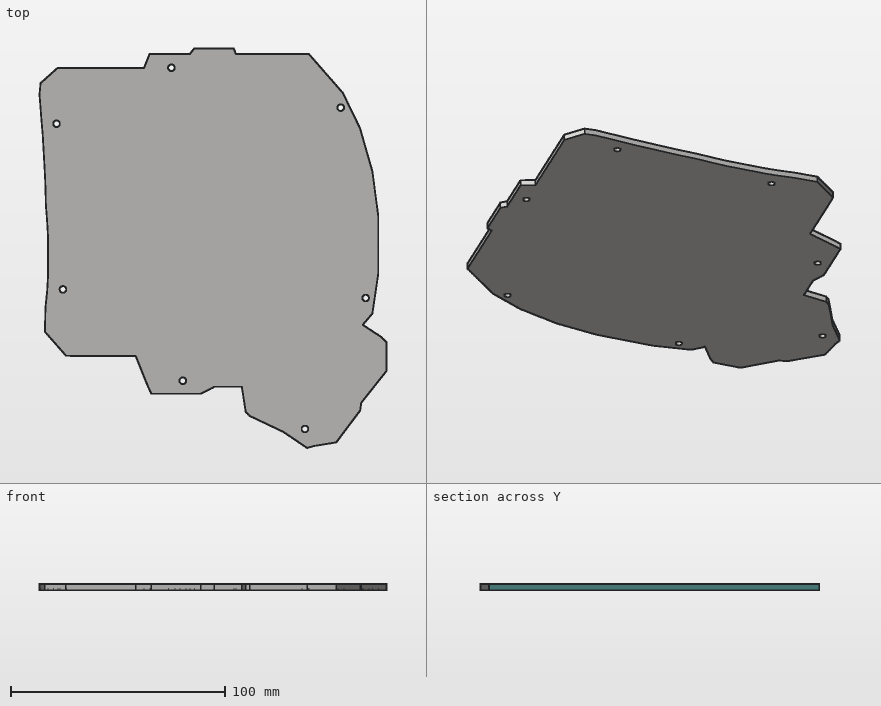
import cadquery as cq


width = 162.0
depth = 186.47
thickness = 3.0
hole_diameter = 3.0

upper_left_y = 177.4
shoulder_y = 183.9
lower_left_y = 42.9
foot_y = 25.3
lower_notch_y = 28.5

corner_rise = 0.15

left_waist_x = 3.95
right_bow_x = 158.1


left_side = [
    (0.5, 170.2),
    (0.0, 165.0),
    (1.0, 152.0),
    (1.5, 146.2),
    (2.4, 130.0),
    (2.7, 124.1),
    (3.0, 113.0),
    (3.6, 105.3),
    (left_waist_x, 98.8),
    (left_waist_x, 79.9),
    (3.6, 73.4),
    (2.8, 65.6),
    (2.5, 54.3),
]

bottom_side = [
    (12.4, lower_left_y + corner_rise),
    (15.7, lower_left_y),
    (44.9, lower_left_y),
    (50.5, 29.0),
    (52.2, foot_y),
    (75.4, foot_y),
    (81.6, lower_notch_y),
    (94.4, lower_notch_y),
]

lobe = [
    (96.2, 16.9),
    (98.2, 14.9),
    (113.8, 7.5),
    (124.9, 0.0),
    (128.1, 0.9),
    (138.5, 2.6),
    (149.7, 17.5),
    (150.2, 21.1),
    (width, 36.0),
    (width, 49.4),
    (159.3, 52.0),
    (150.9, 57.5),
]

right_side = [
    (155.4, 62.7),
    (right_bow_x, 81.0),
    (right_bow_x, 108.6),
    (155.4, 129.1),
    (149.6, 149.3),
    (141.6, 165.7),
    (125.7, shoulder_y),
]

top_side = [
    (91.7, shoulder_y),
    (90.7, depth),
    (72.2, depth),
    (70.2, shoulder_y),
    (51.4, shoulder_y),
    (48.8, upper_left_y),
    (8.5, upper_left_y),
]

hole_centers = [
    (61.6, 177.4),
    (140.6, 158.8),
    (8.0, 151.3),
    (11.0, 74.0),
    (152.2, 70.0),
    (66.9, 31.4),
    (123.9, 8.9),
]


def make_plate():
    """Solid plate with the full outline, standing on the XY plane."""
    outline = left_side + bottom_side + lobe + right_side + top_side
    return cq.Workplane("XY").polyline(outline).close().extrude(thickness)


def drill_holes(plate):
    """Drill every screw hole straight through the plate."""
    return (
        plate.faces(">Z")
        .workplane(origin=(0, 0, thickness))
        .pushPoints(hole_centers)
        .hole(hole_diameter)
    )


result = drill_holes(make_plate())